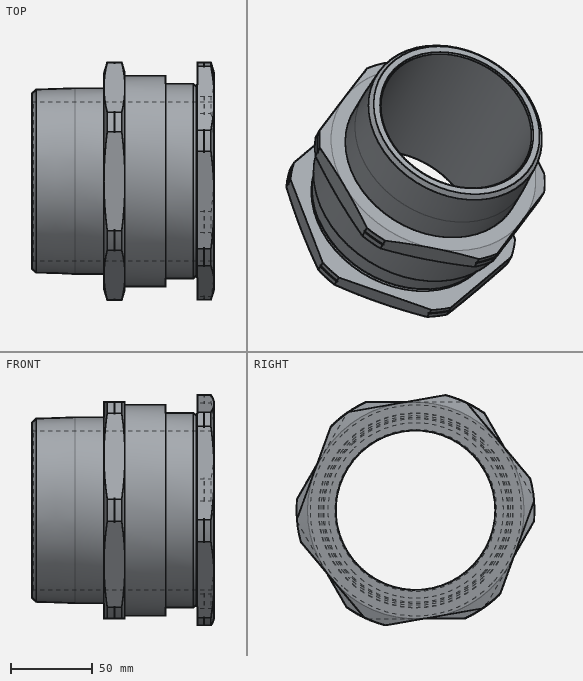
import cadquery as cq
import math

total_length = 112.2
bore_radius = 49.0
bore_chamfer = 0.9

thread_start_radius = 56.5
thread_end_radius = 57.3
thread_taper_length = 26.5
thread_chamfer_length = 2.7
thread_chamfer_depth = 2.5

body_radius = 65.0
body_end_x = 82.3
rear_body_radius = 60.0
rear_chamfer_start_x = 99.3
groove_x = 101.1
groove_radius = 58.4
groove_outer_radius = 59.7

hex_sides = 6
hex_across_flats = 133.3
hex_across_corners = hex_across_flats / math.cos(math.pi / hex_sides)
hex_corner_radius = 73.335
hex_chamfer_length = 2.0
hex_chamfer_inner_radius = hex_across_flats / 2
front_nut_start_x = 44.4
front_nut_length = 12.9
rear_nut_start_x = 101.9
rear_nut_length = total_length - rear_nut_start_x
rear_nut_turn = 10.0

corner_groove_width = 0.4
corner_groove_depth = 0.25


def revolve_about_x(profile):
    """Turn a closed (x, radius) profile into a solid of revolution about X."""
    return cq.Workplane("XY").polyline(profile).close().revolve(360, (0, 0, 0), (1, 0, 0))


def ring(start_x, width, inner_radius, outer_radius):
    """Plain ring on the X axis."""
    return (
        cq.Workplane("YZ", origin=(start_x, 0, 0))
        .circle(outer_radius)
        .circle(inner_radius)
        .extrude(width)
    )


def turned_body():
    """Solid envelope of the thread end and the stepped body."""
    return revolve_about_x([
        (0, 0),
        (0, thread_start_radius - thread_chamfer_depth),
        (thread_chamfer_length, thread_start_radius),
        (thread_taper_length, thread_end_radius),
        (front_nut_start_x, thread_end_radius),
        (front_nut_start_x, body_radius),
        (body_end_x, body_radius),
        (body_end_x, rear_body_radius),
        (rear_chamfer_start_x, rear_body_radius),
        (groove_x, groove_radius),
        (rear_nut_start_x, groove_outer_radius),
        (total_length, groove_outer_radius),
        (total_length, 0),
    ])


def nut(start_x, length, turn, front_chamfer_length):
    """Hexagon with rounded corners, a chamfered rear face, an optional front chamfer and a corner groove."""
    end_x = start_x + length
    corner_start_x = start_x + front_chamfer_length
    corner_end_x = end_x - hex_chamfer_length

    hexagon = (
        cq.Workplane("YZ", origin=(start_x, 0, 0))
        .polygon(hex_sides, hex_across_corners)
        .extrude(length)
        .rotate((0, 0, 0), (1, 0, 0), turn)
    )

    envelope = [(start_x, 0)]
    if front_chamfer_length > 0:
        envelope.append((start_x, hex_chamfer_inner_radius))
    envelope += [
        (corner_start_x, hex_corner_radius),
        (corner_end_x, hex_corner_radius),
        (end_x, hex_chamfer_inner_radius),
        (end_x, 0),
    ]

    corner_groove = ring(
        (corner_start_x + corner_end_x - corner_groove_width) / 2,
        corner_groove_width,
        hex_corner_radius - corner_groove_depth,
        hex_corner_radius + corner_groove_depth,
    )
    return hexagon.intersect(revolve_about_x(envelope)).cut(corner_groove)


def bore():
    """Through bore with a small entry chamfer at the thread end."""
    return revolve_about_x([
        (0, 0),
        (0, bore_radius + bore_chamfer),
        (bore_chamfer, bore_radius),
        (total_length, bore_radius),
        (total_length, 0),
    ])


front_nut = nut(front_nut_start_x, front_nut_length, 0, hex_chamfer_length)
rear_nut = nut(rear_nut_start_x, rear_nut_length, rear_nut_turn, 0)

result = turned_body().union(front_nut).union(rear_nut).cut(bore())